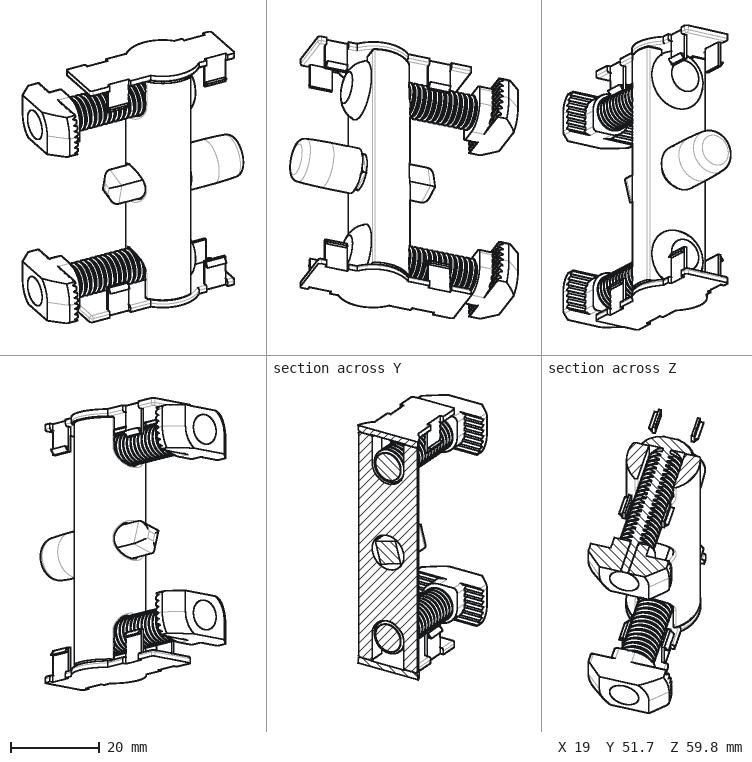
import cadquery as cq
import math

total_height = 59.8
plate_thickness = 1.55

tube_radius = 8.4
tube_flat_y = 3.1
tube_flat_edge_fillet = 0.55
tube_end_chamfer = 0.35
bore_radius = 4.2
bore_mouth_fillet = 0.4
screw_spacing = 43.0

plate_width = 11.6
plate_back_y = 15.55
plate_front_y = -21.75
plate_disc_radius = 8.5
plate_corner_radius = 0.6
plate_rim_fillet = 0.55
tab_width = 5.3
tab_thickness = 0.65
tab_recess = 0.9
tab_length = 7.25
barb_height = 1.15
barb_width = 4.9
tab_centers_y = (10.9, -14.1)

thread_radius = 4.0
core_radius = 3.4
thread_pitch = 1.25
crest_width = 0.3
root_width = 0.25
head_radius = 6.8
head_top_radius = 3.65
head_height = 3.35
head_bulge = 0.55

nut_front_y = -32.95
nut_length = 19.0
nut_height = 9.7
nut_front_length = 11.6
shoulder_y = -27.0
boss_front_y = -24.0
boss_corner_fillet = 1.1
nut_corner_fillet = 0.6
tooth_count = 7
tooth_depth = 0.8
tooth_gap = 0.85

shank_side = 5.7
shank_turn = 15.0
shank_tip_y = -14.5
shank_tip_radius = 2.0
knob_radius = 5.2
knob_end_radius = 4.95
knob_front_y = 4.6
knob_taper_y = 11.65
knob_back_y = 18.7
knob_fillet = 1.45
flare_fillet = 1.4
flare_radius = 4.2

plate_inner_z = total_height / 2 - plate_thickness
screw_z = screw_spacing / 2
nut_half_length = nut_length / 2
nut_half_height = nut_height / 2
nut_front_half = nut_front_length / 2
slope_start_y = nut_front_y + nut_half_length - nut_front_half
boss_radius = nut_half_height


def cylinder_y(radius, y_start, y_end, z=0.0):
    """Solid cylinder with its axis along Y."""
    start = cq.Vector(0, y_start, z)
    return cq.Workplane(cq.Solid.makeCylinder(radius, y_end - y_start, start, cq.Vector(0, 1, 0)))


def box(x_range, y_range, z_range):
    """Box between the given lower and upper limits."""
    size = [high - low for low, high in (x_range, y_range, z_range)]
    corner = (x_range[0], y_range[0], z_range[0])
    return cq.Workplane("XY").box(*size, centered=False).translate(corner)


def make_slot(half_width, sign):
    """Cross hole round a screw axis that stays open up to the tube end."""
    reach = 2 * tube_radius
    hole = cylinder_y(half_width, -reach, reach, sign * screw_z)
    z_limits = sorted((sign * screw_z, sign * total_height / 2))
    return hole.union(box((-half_width, half_width), (-reach, reach), z_limits))


def make_tube():
    reach = 2 * tube_radius
    bar = cq.Workplane("XY").circle(tube_radius).extrude(plate_inner_z, both=True)
    bar = bar.cut(box((-reach, reach), (tube_flat_y, reach), (-total_height, total_height)))
    bar = bar.faces(">Y").edges("|Z").fillet(tube_flat_edge_fillet)
    bar = bar.cut(cylinder_y(bore_radius, -reach, reach))
    for sign in (-1, 1):
        bar = bar.cut(make_slot(bore_radius, sign))
    mouth_z = plate_inner_z - tube_end_chamfer
    mouths = cq.selectors.BoxSelector((-reach, -reach, -mouth_z), (reach, -tube_radius / 2, mouth_z))
    bar = bar.edges(mouths).fillet(bore_mouth_fillet)
    return bar.faces("|Z").edges("%CIRCLE").chamfer(tube_end_chamfer)


def make_tab(side, center_y):
    """Snap tab hanging from the upper plate, with an outward barb at its end."""
    face_x = plate_width / 2 - tab_recess
    inner_x = face_x - tab_thickness
    top_z = total_height / 2
    end_z = top_z - tab_length
    barb_z = end_z + barb_height
    strip = box((inner_x, face_x), (-tab_width / 2, tab_width / 2), (end_z, top_z))
    barb = (
        cq.Workplane("XZ")
        .polyline([(face_x, end_z), (face_x + tab_recess, barb_z), (face_x, barb_z)])
        .close()
        .extrude(barb_width / 2, both=True)
    )
    tab = strip.union(barb).translate((0, center_y, 0))
    return tab if side > 0 else tab.mirror("YZ")


def make_top_plate():
    half_width = plate_width / 2
    strip = box((-half_width, half_width), (plate_front_y, plate_back_y), (plate_inner_z, total_height / 2))
    strip = strip.edges("|Z").fillet(plate_corner_radius)
    disc = cq.Workplane("XY").circle(plate_disc_radius).extrude(plate_thickness)
    disc = disc.translate((0, 0, plate_inner_z))
    plate = strip.union(disc).faces("<Z").edges().fillet(plate_rim_fillet)
    for center_y in tab_centers_y:
        y_limits = (center_y - tab_width / 2, center_y + tab_width / 2)
        for side in (-1, 1):
            x_limits = sorted((side * (half_width - tab_recess), side * plate_width))
            plate = plate.cut(box(x_limits, y_limits, (plate_inner_z, total_height / 2)))
            plate = plate.union(make_tab(side, center_y))
    return plate


def make_screw(z):
    """Ringed thread, plain core through the T-nut and a domed head on the tube flat."""
    flank = (thread_pitch - crest_width - root_width) / 2
    ring_count = int((tube_flat_y - boss_front_y) / thread_pitch)
    head_top_y = tube_flat_y + head_height
    profile = cq.Workplane("XY").moveTo(0, nut_front_y).lineTo(core_radius, nut_front_y)
    for ring in range(ring_count):
        y = boss_front_y + root_width / 2 + ring * thread_pitch
        profile = profile.lineTo(core_radius, y)
        profile = profile.lineTo(thread_radius, y + flank)
        profile = profile.lineTo(thread_radius, y + flank + crest_width)
        profile = profile.lineTo(core_radius, y + 2 * flank + crest_width)
    chord_angle = math.atan2(head_height, head_radius - head_top_radius)
    bulge_x = (head_radius + head_top_radius) / 2 + head_bulge * math.sin(chord_angle)
    bulge_y = tube_flat_y + head_height / 2 + head_bulge * math.cos(chord_angle)
    profile = (
        profile.lineTo(core_radius, tube_flat_y)
        .lineTo(head_radius, tube_flat_y)
        .threePointArc((bulge_x, bulge_y), (head_top_radius, head_top_y))
        .lineTo(0, head_top_y)
        .close()
    )
    return profile.revolve(360, (0, 0, 0), (0, 1, 0)).translate((0, 0, z))


def quadrant_pair(upper_side):
    """Two diagonal quarters about Y; the upper one lies on the +X (1) or -X (-1) side."""
    quarters = cq.Workplane("XY")
    for sign in (-1, 1):
        x_limits = sorted((0, sign * upper_side * nut_length))
        z_limits = sorted((0, sign * nut_half_height))
        quarters = quarters.add(box(x_limits, (nut_front_y, boss_front_y), z_limits))
    return quarters.combine()


def make_nut_body():
    """T-head whose diagonal corners are turned round so that it can twist in its channel."""
    half_outline = [
        (nut_half_length, shoulder_y),
        (nut_half_length, slope_start_y),
        (nut_front_half, nut_front_y),
    ]
    mirrored = [(-x, y) for x, y in reversed(half_outline)]
    square = cq.Workplane("XY").polyline(half_outline + mirrored).close()
    square = square.extrude(nut_half_height, both=True)
    square = square.faces("<X or >X").edges("|Y").fillet(nut_corner_fillet)
    turned = cq.Workplane("XY").polyline([(0, nut_front_y), (0, shoulder_y)] + half_outline).close()
    turned = turned.revolve(360, (0, 0, 0), (0, 1, 0))
    body = square.intersect(quadrant_pair(-1)).union(turned.intersect(quadrant_pair(1)))
    for index in range(tooth_count):
        z = (index - (tooth_count - 1) / 2) * nut_height / tooth_count
        low_z = z - tooth_gap / 2
        high_z = z + tooth_gap / 2
        groove = cq.Workplane("YZ").polyline(
            [(shoulder_y, low_z), (shoulder_y, high_z), (shoulder_y - tooth_depth, z)]
        )
        body = body.cut(groove.close().extrude(nut_length, both=True))
    return body


def make_boss():
    """Neck behind the T-head, round and square in the same quarters as the head."""
    y_limits = (shoulder_y - tooth_depth, boss_front_y)
    square = box((-boss_radius, boss_radius), y_limits, (-boss_radius, boss_radius))
    square = square.edges("|Y").fillet(boss_corner_fillet)
    turned = cylinder_y(boss_radius, *y_limits)
    return square.intersect(quadrant_pair(-1)).union(turned.intersect(quadrant_pair(1)))


def make_nut(z):
    nut = make_nut_body().union(make_boss())
    nut = nut.cut(cylinder_y(core_radius, nut_front_y, boss_front_y))
    return nut.translate((0, 0, z))


def make_shank():
    """Square bar along Y with a tip that curves in from all four sides."""
    half = shank_side / 2
    slab = box((-half, half), (shank_tip_y, knob_front_y), (-half, half))
    rounded_x = slab.faces("<Y").edges("|Z").fillet(shank_tip_radius)
    rounded_z = slab.faces("<Y").edges("|X").fillet(shank_tip_radius)
    return rounded_x.intersect(rounded_z).rotate((0, 0, 0), (0, 1, 0), shank_turn)


def make_flare():
    """Shank root that curves outward on all four sides, trimmed to a circle at the knob."""
    half = shank_side / 2
    wide_half = half + flare_fillet
    start_y = knob_front_y - flare_fillet
    arc_reach = flare_fillet * math.sqrt(0.5)
    arc_middle = (wide_half - arc_reach, start_y + arc_reach)
    side = (
        cq.Workplane("XY")
        .moveTo(-half, start_y)
        .lineTo(half, start_y)
        .threePointArc(arc_middle, (wide_half, knob_front_y))
        .lineTo(-wide_half, knob_front_y)
        .threePointArc((-arc_middle[0], arc_middle[1]), (-half, start_y))
        .close()
        .extrude(knob_radius, both=True)
    )
    flare = side.intersect(side.rotate((0, 0, 0), (0, 1, 0), 90))
    flare = flare.intersect(cylinder_y(flare_radius, start_y, knob_front_y))
    return flare.rotate((0, 0, 0), (0, 1, 0), shank_turn)


def make_plunger():
    taper_end_y = knob_back_y - knob_fillet
    arc_reach = knob_fillet * math.sqrt(0.5)
    knob = (
        cq.Workplane("XY")
        .moveTo(0, knob_front_y)
        .lineTo(knob_radius, knob_front_y)
        .lineTo(knob_radius, knob_taper_y)
        .tangentArcPoint((knob_end_radius, taper_end_y), relative=False)
        .threePointArc(
            (knob_end_radius - knob_fillet + arc_reach, taper_end_y + arc_reach),
            (knob_end_radius - knob_fillet, knob_back_y),
        )
        .lineTo(0, knob_back_y)
        .close()
        .revolve(360, (0, 0, 0), (0, 1, 0))
    )
    return knob.union(make_flare()).union(make_shank())


tube = make_tube()
top_plate = make_top_plate()
plates = [top_plate, top_plate.mirror("XY")]
screws = [make_screw(sign * screw_z) for sign in (-1, 1)]
nuts = [make_nut(sign * screw_z) for sign in (-1, 1)]
plunger = make_plunger()

bodies = [tube, plunger] + plates + screws + nuts
result = cq.Compound.makeCompound([body.val() for body in bodies])